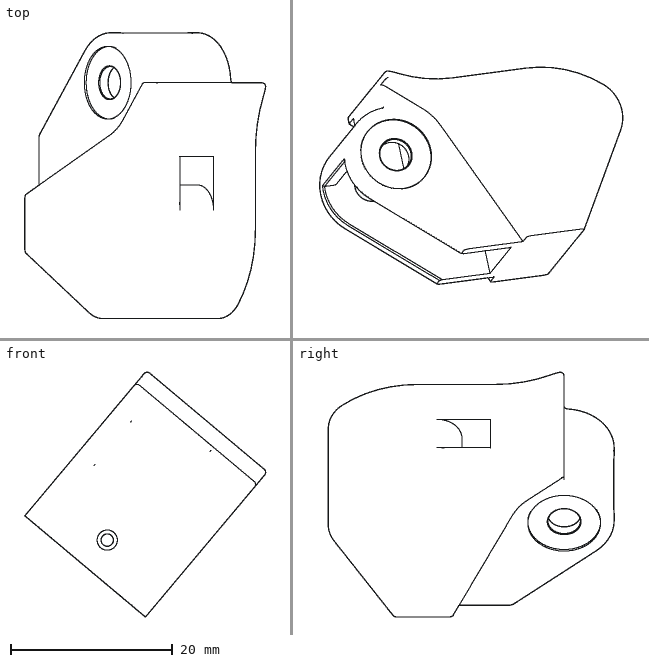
import cadquery as cq
import math

TILT = 40.0

BODY_WIDTH = 19.5
TOP_HEIGHT = 21.5
BASE_BACK_Y = -13.7
BASE_FRONT_Y = -21.22
FRONT_Y = -29.2
EDGE_RADIUS = 0.5

BROW_START_Y = -18.17
BROW_RADIUS = 14.6
NOSE_RADIUS = 4.75
SCALLOP_START_Y = -8.56
SCALLOP_RADIUS = 16.0
CROWN_START_Y = -1.8
CROWN_RADIUS = 9.0

LUG_SPAN = 14.96
STEP_RADIUS = 7.0
STEP_TOP_ANGLE = 40.0

PIVOT_HEIGHT = 13.26
LUG_RADIUS = 6.2
LUG_BASE_Y = -6.13
LUG_INNER_CHAMFER = 0.2
HOLE_DIAMETER = 4.0
HOLE_CHAMFER = 0.1
HOLE_INNER_RADIUS = 0.5
RECESS_DIAMETER = 9.0
RECESS_DEPTH = 0.3

CAVITY_WIDTH = 10.9
CAVITY_FRONT_Y = -12.65
CAVITY_HEIGHT = 13.82
CAVITY_RADIUS = 4.55
ROOF_PEAK_Y = -1.65
ROOF_BACK_SLOPE = 28.0
ROOF_FRONT_SLOPE = 20.0

WINDOW_WIDTH = 5.4
WINDOW_BACK_Y = -9.13
WINDOW_LIP_RADIUS = 3.08

PIN_DIAMETER = 1.5
PIN_HEAD_DIAMETER = 2.5
PIN_HEIGHT = 4.26
PIN_SEAT_Y = -15.0

PIVOT = (0.0, PIVOT_HEIGHT)
STEP_TOP_POINT_ANGLE = 90 + STEP_TOP_ANGLE
STEP_BACK_HEIGHT = PIVOT_HEIGHT + STEP_RADIUS / math.cos(math.radians(STEP_TOP_ANGLE))
TOLERANCE = 1e-6


def polar(center, radius, angle):
    """Point on a circle in the YZ plane, the angle in degrees from +Y towards +Z."""
    turn = math.radians(angle)
    return (center[0] + radius * math.cos(turn), center[1] + radius * math.sin(turn))


def tangent_angle(point, center, radius, side):
    """Angle on the circle where a line from `point` touches it; `side` (+1 or -1) picks the line."""
    dy = point[0] - center[0]
    dz = point[1] - center[1]
    spread = math.degrees(math.acos(radius / math.hypot(dy, dz)))
    return math.degrees(math.atan2(dz, dy)) + side * spread


def add_arc(outline, center, radius, start, end):
    """Continue an outline along a circle between two angles."""
    middle = polar(center, radius, (start + end) / 2)
    return outline.threePointArc(middle, polar(center, radius, end))


def prism(outline, width):
    """Extrude a YZ outline symmetrically across the part."""
    return outline.extrude(width / 2, both=True)


def pivot_cylinder(diameter, width):
    return prism(cq.Workplane("YZ").center(*PIVOT).circle(diameter / 2), width)


def round_cheeks(solid):
    """Round the outline of both side faces, leaving the base edges sharp."""
    edges = solid.faces("<X or >X").edges().filter(lambda edge: edge.Center().z > TOLERANCE)
    return solid.newObject(edges.vals()).fillet(EDGE_RADIUS)


def make_body():
    brow_center = (BROW_START_Y, TOP_HEIGHT - BROW_RADIUS)
    nose_y = FRONT_Y + NOSE_RADIUS
    nose_rise = math.sqrt((BROW_RADIUS - NOSE_RADIUS) ** 2 - (nose_y - BROW_START_Y) ** 2)
    nose_center = (nose_y, brow_center[1] + nose_rise)
    brow_end = math.degrees(math.atan2(nose_rise, nose_y - BROW_START_Y))
    nose_end = tangent_angle((BASE_FRONT_Y, 0), nose_center, NOSE_RADIUS, -1) % 360

    scallop_center = (SCALLOP_START_Y, TOP_HEIGHT + SCALLOP_RADIUS)
    slope = math.degrees(math.asin((CROWN_START_Y - SCALLOP_START_Y) / SCALLOP_RADIUS))
    crown_center = polar(scallop_center, SCALLOP_RADIUS + CROWN_RADIUS, slope - 90)
    crown_end = math.degrees(math.acos(-crown_center[0] / CROWN_RADIUS))

    step_low_angle = tangent_angle((BASE_BACK_Y, 0), PIVOT, STEP_RADIUS, -1) % 360

    outline = cq.Workplane("YZ").moveTo(BASE_BACK_Y, 0).lineTo(BASE_FRONT_Y, 0)
    outline = outline.lineTo(*polar(nose_center, NOSE_RADIUS, nose_end))
    outline = add_arc(outline, nose_center, NOSE_RADIUS, nose_end, brow_end)
    outline = add_arc(outline, brow_center, BROW_RADIUS, brow_end, 90)
    outline = outline.lineTo(SCALLOP_START_Y, TOP_HEIGHT)
    outline = add_arc(outline, scallop_center, SCALLOP_RADIUS, -90, slope - 90)
    outline = add_arc(outline, crown_center, CROWN_RADIUS, 90 + slope, crown_end)
    outline = outline.lineTo(0, STEP_BACK_HEIGHT)
    outline = outline.lineTo(*polar(PIVOT, STEP_RADIUS, STEP_TOP_POINT_ANGLE))
    outline = add_arc(outline, PIVOT, STEP_RADIUS, STEP_TOP_POINT_ANGLE, step_low_angle)

    body = prism(outline.close(), BODY_WIDTH)
    body = body.edges("|X").edges(">Z").fillet(EDGE_RADIUS)
    return round_cheeks(body)


def make_lug_block():
    """Full block that carries both lugs; its front part is buried in the body."""
    slope_angle = tangent_angle((LUG_BASE_Y, 0), PIVOT, LUG_RADIUS, 1)
    lug_top = PIVOT_HEIGHT + LUG_RADIUS
    buried_front_y = (BASE_BACK_Y + BASE_FRONT_Y) / 2

    outline = cq.Workplane("YZ").moveTo(LUG_BASE_Y, 0)
    outline = outline.lineTo(*polar(PIVOT, LUG_RADIUS, slope_angle))
    outline = add_arc(outline, PIVOT, LUG_RADIUS, slope_angle, 90)
    outline = outline.lineTo(0, STEP_BACK_HEIGHT + EDGE_RADIUS)
    outline = outline.lineTo(SCALLOP_START_Y, TOP_HEIGHT - EDGE_RADIUS)
    outline = outline.lineTo(buried_front_y, PIVOT_HEIGHT)
    outline = outline.lineTo(buried_front_y, 0)

    block = prism(outline.close(), LUG_SPAN)
    inner_corner = cq.selectors.NearestToPointSelector((0, 0, lug_top))
    block = block.edges("|X").edges(inner_corner).fillet(EDGE_RADIUS)
    return round_cheeks(block)


def cut_slot(part):
    """Open the slot between the lugs and break the edges it leaves on their outline."""
    slot_length = LUG_RADIUS - CAVITY_FRONT_Y
    slot = cq.Workplane("XY").box(
        CAVITY_WIDTH, slot_length, CAVITY_HEIGHT, centered=(True, False, False)
    )
    part = part.cut(slot.translate((0, CAVITY_FRONT_Y, 0)))

    def on_lug_outline(edge):
        middle = edge.Center()
        on_slot_side = abs(abs(middle.x) - CAVITY_WIDTH / 2) < TOLERANCE
        below_roof = TOLERANCE < middle.z < CAVITY_HEIGHT - TOLERANCE
        return on_slot_side and below_roof and middle.y > CAVITY_FRONT_Y + TOLERANCE

    def on_bridge(edge):
        middle = edge.Center()
        on_roof = abs(middle.z - CAVITY_HEIGHT) < TOLERANCE
        return abs(middle.x) < TOLERANCE and on_roof and middle.y > 0

    edges = part.edges().filter(lambda edge: on_lug_outline(edge) or on_bridge(edge))
    return part.newObject(edges.vals()).chamfer(LUG_INNER_CHAMFER)


def cut_roof(part):
    """Hollow the slot roof: a round about the pivot, and a peaked hollow ahead of it."""
    back_angle = 90 - ROOF_BACK_SLOPE
    back_point = polar(PIVOT, CAVITY_RADIUS, back_angle)
    back_rise = (back_point[0] - ROOF_PEAK_Y) * math.tan(math.radians(ROOF_BACK_SLOPE))
    peak_height = back_point[1] + back_rise
    front_drop = (ROOF_PEAK_Y + CAVITY_RADIUS) * math.tan(math.radians(ROOF_FRONT_SLOPE))
    outline = cq.Workplane("YZ").moveTo(*PIVOT).lineTo(*back_point)
    outline = outline.lineTo(ROOF_PEAK_Y, peak_height)
    outline = outline.lineTo(-CAVITY_RADIUS, peak_height - front_drop)
    outline = outline.lineTo(-CAVITY_RADIUS, PIVOT_HEIGHT)
    part = part.cut(pivot_cylinder(2 * CAVITY_RADIUS, CAVITY_WIDTH))
    return part.cut(prism(outline.close(), CAVITY_WIDTH))


def pivot_hole_rims(part, span):
    """The two edges of the pivot bore that lie `span` apart across the part."""

    def is_rim(edge):
        if edge.geomType() != "CIRCLE":
            return False
        on_hole = abs(edge.radius() - HOLE_DIAMETER / 2) < TOLERANCE
        return on_hole and abs(abs(edge.Center().x) - span / 2) < TOLERANCE

    return part.newObject(part.edges().filter(is_rim).vals())


def cut_pivot_holes(part):
    """Bore both lugs, with shallow round recesses outside and eased hole rims."""
    floor_span = LUG_SPAN - 2 * RECESS_DEPTH
    recesses = pivot_cylinder(RECESS_DIAMETER, BODY_WIDTH)
    recesses = recesses.cut(pivot_cylinder(RECESS_DIAMETER, floor_span))
    part = part.cut(recesses).cut(pivot_cylinder(HOLE_DIAMETER, BODY_WIDTH))
    part = pivot_hole_rims(part, floor_span).chamfer(HOLE_CHAMFER)
    return pivot_hole_rims(part, CAVITY_WIDTH).fillet(HOLE_INNER_RADIUS)


def cut_window(part):
    """Open the slot through the flat top, with a rounded lip on the front side."""
    lip_center = (CAVITY_FRONT_Y - WINDOW_LIP_RADIUS, TOP_HEIGHT - WINDOW_LIP_RADIUS)
    outline = cq.Workplane("YZ").moveTo(WINDOW_BACK_Y, 0).lineTo(CAVITY_FRONT_Y, 0)
    outline = outline.lineTo(CAVITY_FRONT_Y, lip_center[1])
    outline = add_arc(outline, lip_center, WINDOW_LIP_RADIUS, 0, 90)
    outline = outline.lineTo(WINDOW_BACK_Y, TOP_HEIGHT)
    return part.cut(prism(outline.close(), WINDOW_WIDTH))


def cut_pin_hole(part):
    """Drill from the front slope into the slot, wider down to the pin seat."""
    for diameter, end_y in ((PIN_DIAMETER, CAVITY_FRONT_Y), (PIN_HEAD_DIAMETER, PIN_SEAT_Y)):
        start = cq.Workplane("XZ", origin=(0, end_y, PIN_HEIGHT))
        part = part.cut(start.circle(diameter / 2).extrude(end_y - FRONT_Y))
    return part


part = make_body().union(make_lug_block())
part = cut_slot(part)
part = cut_roof(part)
part = cut_pivot_holes(part)
part = cut_window(part)
part = cut_pin_hole(part)

result = part.rotate((0, 0, 0), (0, 1, 0), TILT)